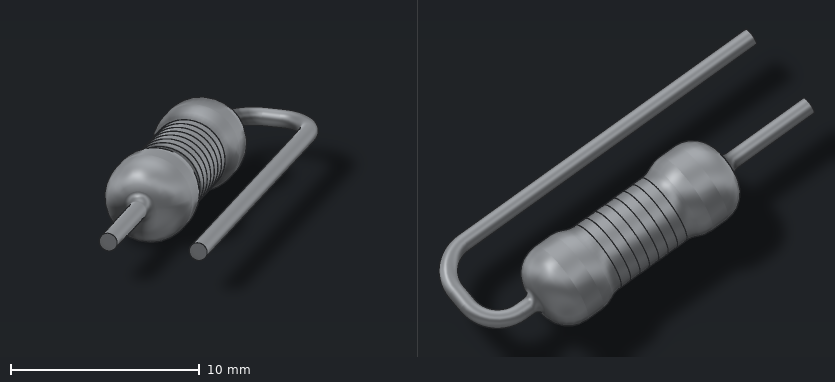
import cadquery as cq
import math

overall_length = 21.8
lead_diameter = 1.0
lead_pitch = 5.0
bend_radius = 2.0

body_center_y = 11.95
cap_diameter = 4.8
waist_diameter = 4.08
band_diameter = 4.1
band_count = 4
waist_half_length = 2.2
shoulder_length = 1.45
cap_straight_length = 1.02
dome_radius = 1.65
lead_fillet_radius = 0.45

lead_radius = lead_diameter / 2
cap_radius = cap_diameter / 2
waist_radius = waist_diameter / 2
cap_start = waist_half_length + shoulder_length
dome_start = cap_start + cap_straight_length
band_width = 2 * waist_half_length / (2 * band_count - 1)


def dome_and_fillet_points():
    """Return the dome middle, dome end, fillet middle and fillet end as (radius, axial) points."""
    dome_center_r = cap_radius - dome_radius
    fillet_center_r = lead_radius + lead_fillet_radius
    center_distance = dome_radius + lead_fillet_radius
    radial_gap = fillet_center_r - dome_center_r
    fillet_end = dome_start + math.sqrt(center_distance**2 - radial_gap**2)
    meet_angle = math.acos(radial_gap / center_distance)

    def on_dome(angle):
        return (dome_center_r + dome_radius * math.cos(angle), dome_start + dome_radius * math.sin(angle))

    def on_fillet(angle):
        return (
            fillet_center_r - lead_fillet_radius * math.cos(angle),
            fillet_end - lead_fillet_radius * math.sin(angle),
        )

    return on_dome(meet_angle / 2), on_dome(meet_angle), on_fillet(meet_angle / 2), on_fillet(0)


def make_body_end():
    """Revolve one end of the body, from under the outermost colour band out to the lead."""
    shoulder_middle = ((waist_radius + cap_radius) / 2, waist_half_length + shoulder_length / 2)
    dome_middle, dome_end, fillet_middle, fillet_end = dome_and_fillet_points()
    return (
        cq.Workplane("XY")
        .moveTo(0, waist_half_length - band_width)
        .lineTo(waist_radius, waist_half_length - band_width)
        .lineTo(waist_radius, waist_half_length)
        .tangentArcPoint(shoulder_middle, relative=False)
        .tangentArcPoint((cap_radius, cap_start), relative=False)
        .lineTo(cap_radius, dome_start)
        .threePointArc(dome_middle, dome_end)
        .threePointArc(fillet_middle, fillet_end)
        .lineTo(0, fillet_end[1])
        .close()
        .revolve(360, (0, 0), (0, 1))
    )


def make_disc(diameter, start, length):
    """Make a solid disc on the body axis, running from start toward +Y."""
    return cq.Workplane("XZ", origin=(0, start, 0)).circle(diameter / 2).extrude(-length)


def make_body():
    """Join the two ends to the waist and add the raised colour bands around it."""
    end = make_body_end()
    waist = make_disc(waist_diameter, -waist_half_length, 2 * waist_half_length)
    body = waist.union(end).union(end.mirror("XZ"))
    for index in range(band_count):
        band_start = -waist_half_length + 2 * index * band_width
        body = body.union(make_disc(band_diameter, band_start, band_width))
    return body.translate((0, body_center_y, 0))


def make_lead():
    """Sweep the wire through the body axis, over the two bends and back to Y = 0."""
    top_y = overall_length - lead_radius
    bend_start_y = top_y - bend_radius
    path = (
        cq.Workplane("XY")
        .lineTo(0, bend_start_y)
        .tangentArcPoint((bend_radius, top_y), relative=False)
        .lineTo(lead_pitch - bend_radius, top_y)
        .tangentArcPoint((lead_pitch, bend_start_y), relative=False)
        .lineTo(lead_pitch, 0)
    )
    return cq.Workplane("XZ").circle(lead_radius).sweep(path)


result = make_body().union(make_lead())